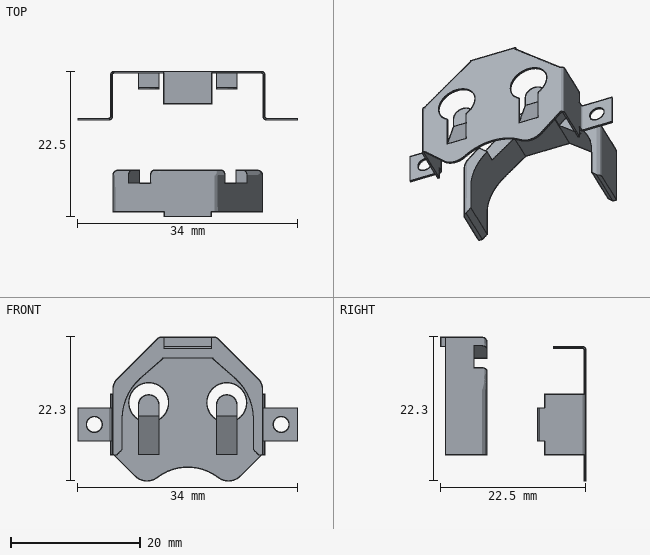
import cadquery as cq
import math


sheet = 0.27
bend_outer = 0.5
bend_inner = bend_outer - sheet
flange_x = 11.95
flange_height = 9.42
flange_depth = 6.4
neck_height = 5.17
foot_end_x = 17.0
foot_depth = 7.5
foot_hole_x = 14.45
foot_hole_diameter = 2.4
flange_mid_z = flange_height / 2

plate_half_width = flange_x - bend_outer
tab_half_width = 3.75
tab_top_z = 16.75
tab_length = 5.05
lower_edge_run = 5.78
scallop_top_z = -1.9
scallop_radius = 7.75
lobe_radius = 2.6

leg_spacing = 12.07
leg_width = 3.2
leg_root_z = 0.1
leg_bend_z = 6.0
leg_top_z = 9.32
leg_depth = 2.75
leg_hole_diameter = 6.12
leg_hole_z = 8.1

housing_back = 15.27
housing_depth = 6.45
housing_front = housing_back + housing_depth
arm_outer_x = 11.6
arm_inner_x = 10.17
housing_top_z = 18.23
wall_slope_angle = 45
shoulder_z = 11.1
shoulder_radius = 2.38
crown_radius = 0.85
back_edge_radius = 0.85
ceiling_z = 15.03
ceiling_half_width = 3.7
inner_slope_angle = 41.2
inner_radius = 8.5
arm_tip_chamfer = 0.8

notch_length = 4.8
notch_depth = 2.0
notch_mid_z = 15.2
notch_reach = 4.08
ledge_width = 7.3
ledge_height = 1.45
ledge_depth = 0.75
tab_slot_height = 0.3


def mirrored(half_outline):
    """Closed outline: the half at negative x, then its mirror image in reverse order."""
    return half_outline + [(-x, other) for x, other in reversed(half_outline)]


def prism(outline, back, depth):
    """Extrude an XZ outline forward by depth from a plane at a distance back in front of y = 0."""
    return cq.Workplane("XZ", origin=(0, -back, 0)).polyline(outline).close().extrude(depth)


def round_corners(body, corners, radius):
    """Fillet the edges along Y that are nearest to the given (x, z) corners of the housing."""
    mid_y = -housing_back - housing_depth / 2
    for x, z in corners:
        corner = cq.selectors.NearestToPointSelector((x, mid_y, z))
        body = body.edges("|Y").edges(corner).fillet(radius)
    return body


def make_back_plate():
    outline = [
        (-plate_half_width + lower_edge_run, -lower_edge_run),
        (-plate_half_width, 0),
        (-plate_half_width, flange_height),
        (-tab_half_width, tab_top_z - bend_outer),
    ]
    plate = prism(mirrored(outline), 0, sheet)
    scallop = (
        cq.Workplane("XZ")
        .center(0, scallop_top_z - scallop_radius)
        .circle(scallop_radius)
        .extrude(sheet)
    )
    plate = plate.cut(scallop)
    lobe_tips = plate.edges("|Y").edges("<Z")
    return lobe_tips.fillet(lobe_radius)


def make_flanges_and_feet():
    """Channel bent from one strip: back web, two flanges and two outward feet."""
    outer = flange_x
    inner = flange_x - sheet
    half_outline = [
        (-inner, -sheet),
        (-inner, -foot_depth),
        (-foot_end_x, -foot_depth),
        (-foot_end_x, -foot_depth + sheet),
        (-outer, -foot_depth + sheet),
        (-outer, 0),
    ]
    strip = cq.Workplane("XY").polyline(mirrored(half_outline)).close().extrude(flange_height)
    for side in (-1, 1):
        corners = [
            (inner, -sheet, bend_inner),
            (inner, -foot_depth, bend_outer),
            (outer, -foot_depth + sheet, bend_inner),
            (outer, 0, bend_outer),
        ]
        for x, y, radius in corners:
            near = cq.selectors.NearestToPointSelector((side * x, y, flange_mid_z))
            strip = strip.edges("|Z").edges(near).fillet(radius)

    front_depth = foot_depth - flange_depth
    trim_height = (flange_height - neck_height) / 2
    for bottom_z in (0, flange_height - trim_height):
        trim = cq.Workplane("XY").box(
            2 * foot_end_x, front_depth, trim_height, centered=(True, False, False)
        ).translate((0, -foot_depth, bottom_z))
        strip = strip.cut(trim)

    foot_holes = (
        cq.Workplane("XZ")
        .pushPoints([(-foot_hole_x, flange_mid_z), (foot_hole_x, flange_mid_z)])
        .circle(foot_hole_diameter / 2)
        .extrude(foot_depth)
    )
    return strip.cut(foot_holes)


def make_tab():
    """Top tab bent forward from the upper edge of the back plate."""
    root_z = tab_top_z - bend_outer
    return (
        cq.Workplane("YZ", origin=(-tab_half_width, 0, 0))
        .moveTo(0, root_z)
        .radiusArc((-bend_outer, tab_top_z), -bend_outer)
        .lineTo(-tab_length, tab_top_z)
        .lineTo(-tab_length, tab_top_z - sheet)
        .lineTo(-bend_outer, tab_top_z - sheet)
        .radiusArc((-sheet, root_z), bend_inner)
        .close()
        .extrude(2 * tab_half_width)
    )


def make_leg(x):
    """Spring leg: slopes forward from its root, then stands upright with a round end."""
    lean = math.atan2(leg_depth - sheet, leg_bend_z - leg_root_z)
    back_bend_z = leg_bend_z + sheet * math.tan(lean / 2)
    back_root_z = back_bend_z - (leg_depth - sheet) / math.tan(lean)
    profile = [
        (0, leg_root_z),
        (-sheet, leg_root_z),
        (-leg_depth, leg_bend_z),
        (-leg_depth, leg_top_z),
        (-leg_depth + sheet, leg_top_z),
        (-leg_depth + sheet, back_bend_z),
        (0, back_root_z),
    ]
    leg = (
        cq.Workplane("YZ", origin=(x - leg_width / 2, 0, 0))
        .polyline(profile)
        .close()
        .extrude(leg_width)
    )
    half_width = leg_width / 2
    round_ended_strip = (
        cq.Workplane("XZ")
        .moveTo(x - half_width, leg_root_z)
        .lineTo(x + half_width, leg_root_z)
        .lineTo(x + half_width, leg_top_z - half_width)
        .threePointArc((x, leg_top_z), (x - half_width, leg_top_z - half_width))
        .close()
        .extrude(leg_depth)
    )
    return leg.intersect(round_ended_strip)


def make_contact():
    contact = make_back_plate().union(make_flanges_and_feet()).union(make_tab())
    for x in (-leg_spacing / 2, leg_spacing / 2):
        hole = (
            cq.Workplane("XZ")
            .center(x, leg_hole_z)
            .circle(leg_hole_diameter / 2)
            .extrude(sheet)
        )
        leg_slot = cq.Workplane("XY").box(
            leg_width, sheet, leg_hole_z - leg_root_z, centered=(True, False, False)
        ).translate((x, -sheet, leg_root_z))
        contact = contact.cut(hole).cut(leg_slot).union(make_leg(x))
    return contact


def sloped_wall_x(z):
    """Distance from x = 0 of the outer face of a sloped wall at height z."""
    return arm_outer_x - (z - shoulder_z) / math.tan(math.radians(wall_slope_angle))


def make_housing_arch():
    crown_x = sloped_wall_x(housing_top_z)
    outer = prism(
        mirrored([(-arm_outer_x, 0), (-arm_outer_x, shoulder_z), (-crown_x, housing_top_z)]),
        housing_back,
        housing_depth,
    )
    shoulders = [(-arm_outer_x, shoulder_z), (arm_outer_x, shoulder_z)]
    crowns = [(-crown_x, housing_top_z), (crown_x, housing_top_z)]
    outer = round_corners(outer, shoulders, shoulder_radius)
    outer = round_corners(outer, crowns, crown_radius)
    outer = outer.faces(">Y").edges("not <Z").fillet(back_edge_radius)

    slope_drop = (arm_inner_x - ceiling_half_width) * math.tan(math.radians(inner_slope_angle))
    knee_z = ceiling_z - slope_drop
    opening = prism(
        mirrored([
            (-arm_inner_x - arm_tip_chamfer, 0),
            (-arm_inner_x, arm_tip_chamfer),
            (-arm_inner_x, knee_z),
            (-ceiling_half_width, ceiling_z),
        ]),
        housing_back,
        housing_depth,
    )
    opening = round_corners(opening, [(-arm_inner_x, knee_z), (arm_inner_x, knee_z)], inner_radius)
    return outer.cut(opening)


def make_notch(side):
    """Cutter for the notch in the back edge of a sloped wall."""
    mid_x = sloped_wall_x(notch_mid_z)
    return (
        cq.Workplane("XY")
        .box(notch_length, notch_depth, 2 * notch_reach)
        .rotate((0, 0, 0), (0, 1, 0), side * wall_slope_angle)
        .translate((side * mid_x, -housing_back - notch_depth / 2, notch_mid_z))
    )


def make_housing():
    housing = make_housing_arch()
    for side in (-1, 1):
        housing = housing.cut(make_notch(side))

    ledge_bottom_z = housing_top_z - ledge_height
    ledge = cq.Workplane("XY").box(
        ledge_width, ledge_depth, ledge_height, centered=(True, False, False)
    ).translate((0, -housing_front - ledge_depth, ledge_bottom_z))

    tab_slot = cq.Workplane("XY").box(
        ledge_width, housing_depth, tab_slot_height, centered=(True, False, False)
    ).translate((0, -housing_front, ledge_bottom_z - tab_slot_height))
    return housing.union(ledge).cut(tab_slot)


contact = make_contact()
housing = make_housing()

result = cq.Compound.makeCompound([contact.val(), housing.val()])